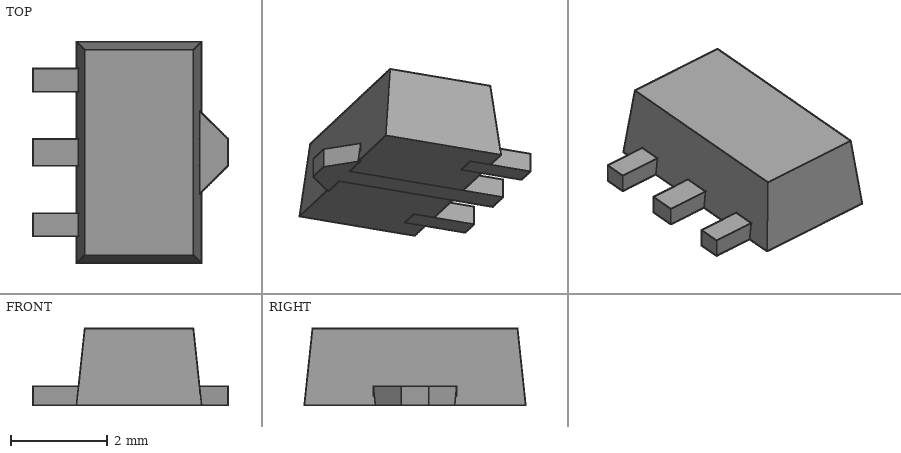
import cadquery as cq

housing_length = 4.6
housing_width = 2.6
housing_height = 1.6
wall_setback = 0.17

lead_thickness = 0.4
lead_reach = 0.9
lead_pitch = 1.5
side_lead_width = 0.485
side_lead_embed = 0.46
centre_lead_width = 0.56

tab_reach = 0.547
tab_root_width = 1.73

housing_half_width = housing_width / 2
lead_tip_x = -housing_half_width - lead_reach
tab_tip_x = housing_half_width + tab_reach
tab_root_x = housing_half_width - wall_setback * lead_thickness / housing_height


def make_housing_block():
    """Tapered housing before the lead recesses are cut."""
    return (
        cq.Workplane("XY")
        .rect(housing_width, housing_length)
        .workplane(offset=housing_height)
        .rect(housing_width - 2 * wall_setback, housing_length - 2 * wall_setback)
        .loft(ruled=True, combine=True)
    )


def make_strip(end_x, width, centre_y):
    """Flat strip from the lead tip to end_x."""
    return (
        cq.Workplane("XY")
        .box(end_x - lead_tip_x, width, lead_thickness, centered=(False, True, False))
        .translate((lead_tip_x, centre_y, 0))
    )


def make_side_lead(centre_y):
    """Straight lead that stops inside the housing."""
    return make_strip(-housing_half_width + side_lead_embed, side_lead_width, centre_y)


def make_centre_lead():
    """Lead that runs through the housing and ends in the tapered tab."""
    tab = (
        cq.Workplane("XY")
        .polyline([
            (tab_root_x, -tab_root_width / 2),
            (tab_tip_x, -centre_lead_width / 2),
            (tab_tip_x, centre_lead_width / 2),
            (tab_root_x, tab_root_width / 2),
        ])
        .close()
        .extrude(lead_thickness)
    )
    return make_strip(tab_root_x, centre_lead_width, 0).union(tab)


side_leads = [make_side_lead(side * lead_pitch) for side in (-1, 1)]
centre_lead = make_centre_lead()

housing = make_housing_block()
for lead in [*side_leads, centre_lead]:
    housing = housing.cut(lead)

result = cq.Compound.makeCompound([
    housing.val(),
    centre_lead.val(),
    *[lead.val() for lead in side_leads],
])